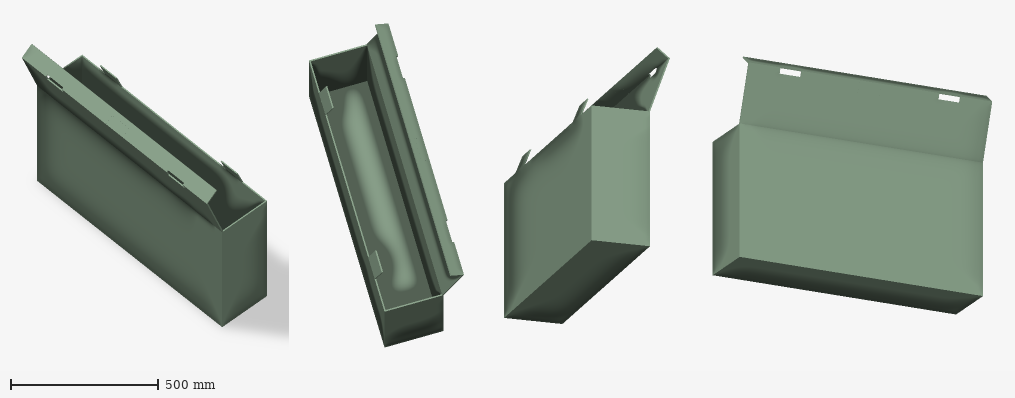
import cadquery as cq
import math

width = 920.0
box_depth = 210.0
box_height = 481.0
wall = 5.0

lean_angle = 20.0
flange_angle = 38.0
fold_reach = 72.0
total_height = 714.0
lean = math.radians(lean_angle)
pitch = math.radians(flange_angle)
fold_y = -fold_reach
fold_z = box_height + fold_reach / math.tan(lean)
flange_length = (total_height - fold_z) / math.sin(pitch)

tab_width = 80.0
tab_spacing = 601.0
tab_height = 63.0
tab_reach = 25.0
slot_on_flange = 8.0
slot_on_panel = 21.0
tab_centers = [-tab_spacing / 2, tab_spacing / 2]

tongue_width = 83.0
tongue_on_flange = 37.0
tongue_on_panel = 44.0
slit_width = 0.2


def extrude_across(points, length, center_x):
    """Extrude a (Y, Z) outline along X, centred on center_x."""
    start = cq.Workplane("YZ").workplane(offset=center_x - length / 2)
    return start.polyline(points).close().extrude(length)


def inner_fold():
    """Point inside the fold where the inner faces of panel and flange meet."""
    interior_angle = math.pi / 2 - lean + pitch
    half_angle = interior_angle / 2
    bisector = pitch - half_angle
    distance = wall / math.sin(half_angle)
    return (fold_y + distance * math.cos(bisector), fold_z + distance * math.sin(bisector))


def folded_strip(on_panel, on_flange, strip_width, center_x):
    """Bent strip of lid sheet with square-cut ends, lengths measured from the fold."""
    panel_end = (fold_y + on_panel * math.sin(lean), fold_z - on_panel * math.cos(lean))
    panel_end_inner = (panel_end[0] + wall * math.cos(lean), panel_end[1] + wall * math.sin(lean))
    flange_end = (fold_y + on_flange * math.cos(pitch), fold_z + on_flange * math.sin(pitch))
    flange_end_inner = (flange_end[0] + wall * math.sin(pitch), flange_end[1] - wall * math.cos(pitch))
    outline = [panel_end, (fold_y, fold_z), flange_end, flange_end_inner, inner_fold(), panel_end_inner]
    return extrude_across(outline, strip_width, center_x)


def make_box():
    """Open-topped box with walls and floor of one thickness."""
    box = cq.Workplane("XY").box(width, box_depth, box_height, centered=(True, False, False))
    return box.faces(">Z").shell(-wall)


def make_tongue_slit():
    """Three-sided slit around the tongue, open where it joins the panel."""
    around = folded_strip(
        tongue_on_panel, tongue_on_flange + slit_width, tongue_width + 2 * slit_width, 0
    )
    tongue = folded_strip(tongue_on_panel, tongue_on_flange, tongue_width, 0)
    return around.cut(tongue)


def make_lid():
    """Folded lid standing on the front wall, with tab slots and a slit tongue."""
    panel_length = (fold_z - box_height) / math.cos(lean)
    lid = folded_strip(panel_length + wall, flange_length, width, 0)
    below_rim = cq.Workplane("XY").box(width, box_depth, box_height, centered=(True, True, False))
    lid = lid.cut(below_rim)
    for center_x in tab_centers:
        lid = lid.cut(folded_strip(slot_on_panel, slot_on_flange, tab_width, center_x))
    return lid.cut(make_tongue_slit())


def make_tab(center_x):
    """Tab leaning inward from the rim of the back wall."""
    tab_top = box_height + tab_height
    outline = [
        (box_depth, box_height),
        (box_depth - wall, box_height),
        (box_depth - wall - tab_reach, tab_top),
        (box_depth - tab_reach, tab_top),
    ]
    return extrude_across(outline, tab_width, center_x)


housing = make_box().union(make_lid())
tabs = [make_tab(center_x) for center_x in tab_centers]

result = cq.Compound.makeCompound([housing.val(), *[tab.val() for tab in tabs]])